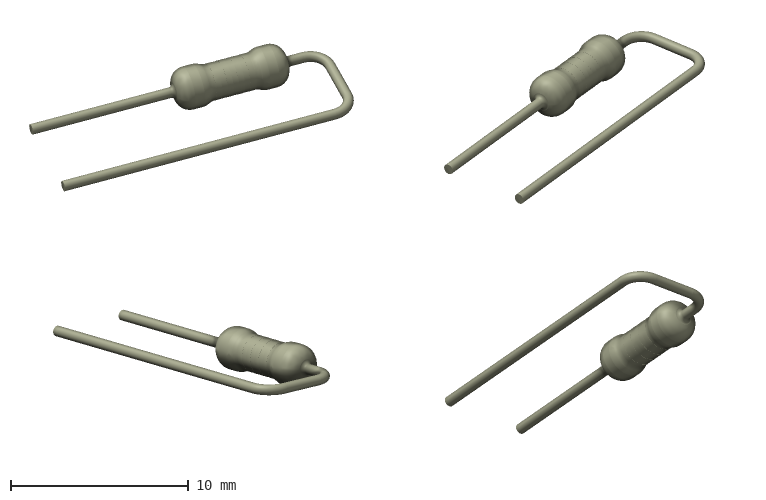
import cadquery as cq
import math

total_length = 17.9
wire_diameter = 0.6
wire_radius = wire_diameter / 2
lead_pitch = 5.0
bend_radius = 1.2

body_diameter = 2.5
body_radius = body_diameter / 2
waist_diameter = 2.13
band_diameter = 2.15
waist_radius = waist_diameter / 2
band_radius = band_diameter / 2
body_setback = 5.9
cap_inner = 1.97
cap_outer = 2.55
waist_end = 1.2
dome_radius = 0.85
flare_radius = 0.23

band_count = 4
band_width = 2 * waist_end / (2 * band_count - 1)

lead_end_y = -total_length / 2
cross_wire_y = total_length / 2 - wire_radius
body_y = total_length / 2 - body_setback


def make_wire():
    bend_start_y = cross_wire_y - bend_radius
    diagonal = bend_radius * math.sqrt(0.5)
    right_bend_x = lead_pitch - bend_radius
    path = (
        cq.Workplane("XY")
        .moveTo(0, lead_end_y)
        .lineTo(0, bend_start_y)
        .threePointArc(
            (bend_radius - diagonal, bend_start_y + diagonal),
            (bend_radius, cross_wire_y),
        )
        .lineTo(right_bend_x, cross_wire_y)
        .threePointArc(
            (right_bend_x + diagonal, bend_start_y + diagonal),
            (lead_pitch, bend_start_y),
        )
        .lineTo(lead_pitch, lead_end_y)
    )
    section = cq.Workplane("XZ", origin=(0, lead_end_y, 0)).circle(wire_radius)
    return section.sweep(path)


def make_half_body(side):
    """Half of the body, from its middle towards side (+1 or -1) along Y."""
    def place(radius, distance):
        return (radius, body_y + side * distance)

    shoulder_radius = (body_radius + waist_radius) / 2
    shoulder_middle = (cap_inner + waist_end) / 2

    flare_outer = wire_radius + flare_radius
    dome_center = body_radius - dome_radius
    dome_end = cap_outer + math.sqrt(dome_radius**2 - (flare_outer - dome_center) ** 2)
    dome_diagonal = dome_radius * math.sqrt(0.5)
    flare_end = dome_end + flare_radius
    flare_diagonal = flare_radius * math.sqrt(0.5)

    profile = (
        cq.Workplane("XY")
        .moveTo(*place(0, 0))
        .lineTo(*place(waist_radius, 0))
        .lineTo(*place(waist_radius, waist_end))
        .tangentArcPoint(place(shoulder_radius, shoulder_middle), relative=False)
        .tangentArcPoint(place(body_radius, cap_inner), relative=False)
        .lineTo(*place(body_radius, cap_outer))
        .threePointArc(
            place(dome_center + dome_diagonal, cap_outer + dome_diagonal),
            place(flare_outer, dome_end),
        )
        .threePointArc(
            place(flare_outer - flare_diagonal, flare_end - flare_diagonal),
            place(wire_radius, flare_end),
        )
        .lineTo(*place(0, flare_end))
        .close()
    )
    return profile.revolve(360, (0, 0, 0), (0, 1, 0))


def make_band(index):
    start = body_y - waist_end + 2 * index * band_width
    return (
        cq.Workplane("XZ", origin=(0, start, 0))
        .circle(band_radius)
        .extrude(-band_width)
    )


result = make_wire()
for side in (-1, 1):
    result = result.union(make_half_body(side))
for index in range(band_count):
    result = result.union(make_band(index))